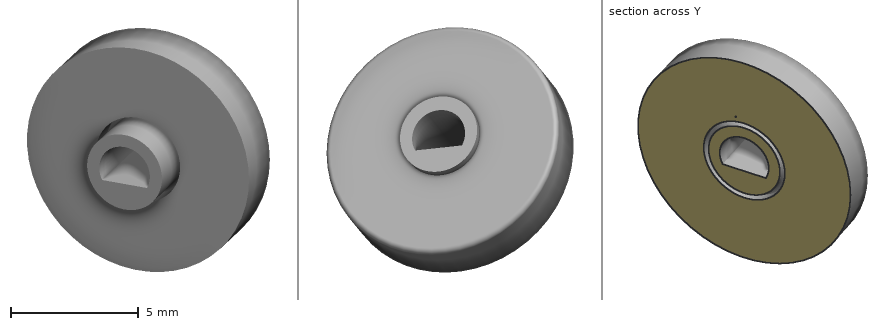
import cadquery as cq

wheel_diameter = 9.5
wheel_thickness = 2.19
rim_fillet = 0.2

hub_diameter = 3.2
hub_length = 1.31
recess_diameter = 3.6
recess_depth = 1.0
hub_base_fillet = (recess_diameter - hub_diameter) / 2

boss_diameter = 3.15
boss_height = 0.4
boss_offset = 0.08

bore_diameter = 2.17
bore_flat_height = -0.5

total_depth = hub_length + wheel_thickness + boss_height
hub_face_y = -total_depth / 2
wheel_front_y = hub_face_y + hub_length
wheel_back_y = wheel_front_y + wheel_thickness


def cylinder_along_y(diameter, start_y, length, center_z=0.0):
    """Solid cylinder from start_y towards +Y."""
    plane = cq.Workplane("XZ", origin=(0, start_y, center_z))
    return plane.circle(diameter / 2).extrude(-length)


def make_wheel():
    wheel = cylinder_along_y(wheel_diameter, wheel_front_y, wheel_thickness)
    wheel = wheel.faces(">Y").edges().fillet(rim_fillet)
    return wheel.cut(make_recess())


def make_recess():
    """Ring groove whose floor curves up into the hub wall."""
    hub_radius = hub_diameter / 2
    floor_y = wheel_front_y + recess_depth
    section = (
        cq.Workplane("XY")
        .moveTo(hub_radius, wheel_front_y)
        .lineTo(hub_radius, floor_y - hub_base_fillet)
        .radiusArc((recess_diameter / 2, floor_y), hub_base_fillet)
        .lineTo(recess_diameter / 2, wheel_front_y)
        .close()
    )
    return section.revolve(360, (0, 0, 0), (0, 1, 0))


def make_bore():
    bore = cylinder_along_y(bore_diameter, hub_face_y, total_depth)
    above_flat = cq.Workplane("XY", origin=(0, 0, bore_flat_height)).box(
        bore_diameter, total_depth, bore_diameter, centered=(True, True, False)
    )
    return bore.intersect(above_flat)


hub = cylinder_along_y(hub_diameter, hub_face_y, hub_length)
boss = cylinder_along_y(boss_diameter, wheel_back_y, boss_height, boss_offset)
result = make_wheel().union(hub).union(boss).cut(make_bore())